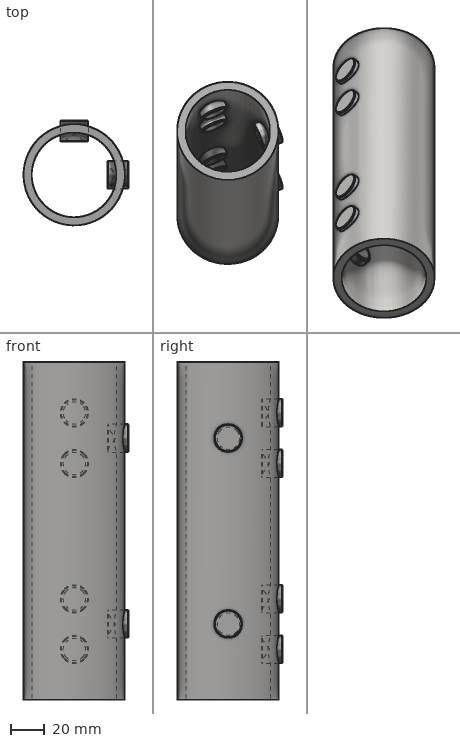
import cadquery as cq

tube_length = 200.0
outer_radius = 30.0
wall = 5.0
inner_radius = outer_radius - wall

screw_diameter = 16.5
screw_radius = screw_diameter / 2
screw_length = 12.5
screw_protrusion = 2.2
screw_chamfer = 0.5
cup_radius = 6.5
cup_depth = 4.8
screw_outer_end = outer_radius + screw_protrusion
screw_inner_end = screw_outer_end - screw_length

x_screw_end_distance = 45.0
y_screw_end_distances = (30.0, 60.0)


def mirrored_heights(end_distances):
    """Heights measured from the bottom end, then the same distances from the top end."""
    return [*end_distances, *(tube_length - distance for distance in end_distances)]


def radial_cylinder(direction, height):
    """Screw-sized cylinder on a radial axis, spanning the full length of a screw."""
    start = cq.Vector(0, 0, height) + direction * screw_inner_end
    plane = cq.Plane(origin=start, xDir=(0, 0, 1), normal=direction)
    return cq.Workplane(plane).circle(screw_radius).extrude(screw_length)


def make_set_screw(direction, height):
    """Set screw with both end edges chamfered and a conical cup in its inner end."""
    body = radial_cylinder(direction, height).edges("%CIRCLE").chamfer(screw_chamfer)
    cup_center = cq.Vector(0, 0, height) + direction * screw_inner_end
    cup = cq.Solid.makeCone(cup_radius, 0, cup_depth, pnt=cup_center, dir=direction)
    return body.cut(cq.Workplane(cup))


def make_tube(placements):
    """Round tube with one through-wall hole for each screw."""
    tube = cq.Workplane("XY").circle(outer_radius).circle(inner_radius).extrude(tube_length)
    for direction, height in placements:
        tube = tube.cut(radial_cylinder(direction, height))
    return tube


x_direction = cq.Vector(1, 0, 0)
y_direction = cq.Vector(0, 1, 0)
x_placements = [(x_direction, height) for height in mirrored_heights([x_screw_end_distance])]
y_placements = [(y_direction, height) for height in mirrored_heights(y_screw_end_distances)]
screw_placements = x_placements + y_placements

tube = make_tube(screw_placements)
set_screws = [make_set_screw(direction, height) for direction, height in screw_placements]

result = cq.Compound.makeCompound([tube.val(), *(screw.val() for screw in set_screws)])